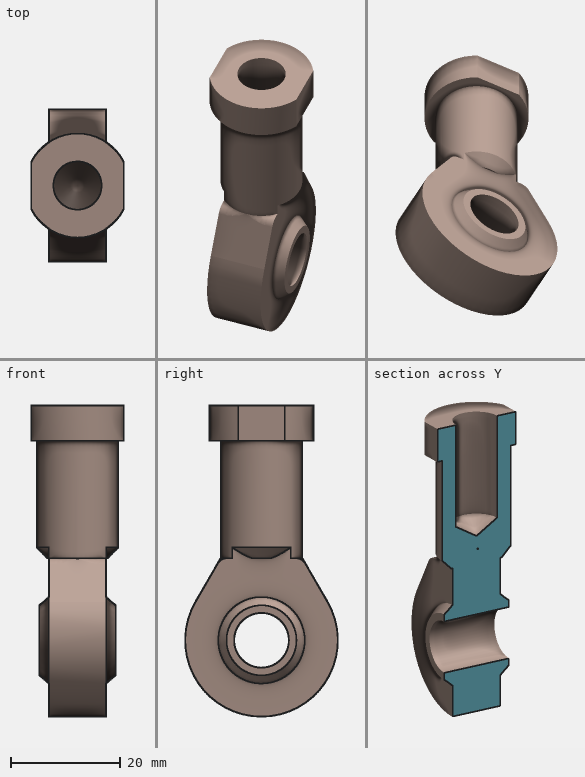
import cadquery as cq
import math

total_height = 57.0
eye_diameter = 28.0
eye_width = 10.5
bore_diameter = 10.0
ball_width = 14.0
ball_end_diameter = 12.8
ball_face_diameter = 15.85
flank_angle = math.radians(30)
corner_radius = 2.0

shank_diameter = 15.0
shank_chamfer = 2.0
head_diameter = 19.05
head_height = 6.5
head_flats = 17.0
hole_diameter = 8.85
hole_depth = 19.95
drill_point_angle = math.radians(118)

eye_radius = eye_diameter / 2
shank_radius = shank_diameter / 2
top_z = total_height - eye_radius
shoulder_z = (eye_radius - shank_radius * math.cos(flank_angle)) / math.sin(flank_angle)
tangent_y = eye_radius * math.cos(flank_angle)
tangent_z = eye_radius * math.sin(flank_angle)

blend_start_x = 0.15
blend_sections = 8


def cylinder(diameter, bottom_z, height):
    return cq.Workplane("XY").workplane(offset=bottom_z).circle(diameter / 2).extrude(height)


def make_eye():
    return (
        cq.Workplane("YZ")
        .moveTo(-shank_radius, shoulder_z)
        .lineTo(shank_radius, shoulder_z)
        .lineTo(tangent_y, tangent_z)
        .threePointArc((0, -eye_radius), (-tangent_y, tangent_z))
        .close()
        .extrude(eye_width / 2, both=True)
    )


def corner_section(x, inset):
    """Waste outside an arc tangent to the flank that starts inset from the corner."""
    depth = inset * math.cos(flank_angle)
    reach = math.sqrt(2 * corner_radius * depth - depth**2)
    along = reach - inset * math.sin(flank_angle)
    flank_y = shank_radius + along * math.sin(flank_angle)
    flank_z = shoulder_z - along * math.cos(flank_angle)
    center_y = flank_y - corner_radius * math.cos(flank_angle)
    center_z = flank_z - corner_radius * math.sin(flank_angle)
    start_angle = math.atan2(shoulder_z - center_z, shank_radius - inset - center_y)
    middle_angle = (start_angle + flank_angle) / 2
    start = cq.Vector(x, shank_radius - inset, shoulder_z)
    middle = cq.Vector(
        x,
        center_y + corner_radius * math.cos(middle_angle),
        center_z + corner_radius * math.sin(middle_angle),
    )
    end = cq.Vector(x, flank_y, flank_z)
    corner = cq.Vector(x, shank_radius, shoulder_z)
    return cq.Wire.assembleEdges([
        cq.Edge.makeThreePointArc(start, middle, end),
        cq.Edge.makeLine(end, corner),
        cq.Edge.makeLine(corner, start),
    ])


def corner_waste():
    """One quarter of the rounding: full near the eye face, fading out under the shank."""
    full_inset = corner_radius * math.tan((math.pi / 2 - flank_angle) / 2)
    full_x = math.sqrt(shank_radius**2 - (shank_radius - full_inset)**2)
    step = (full_x - blend_start_x) / (blend_sections - 1)
    sections = []
    for index in range(blend_sections):
        x = blend_start_x + index * step
        inset = shank_radius - math.sqrt(shank_radius**2 - x**2)
        sections.append(corner_section(x, inset))
    blend = cq.Solid.makeLoft(sections, False)
    straight = cq.Solid.makeLoft(
        [corner_section(full_x, full_inset), corner_section(eye_width / 2, full_inset)], True
    )
    return [blend, straight]


def round_corners(eye):
    for waste in corner_waste():
        mirrored_x = waste.mirror("YZ")
        for piece in (waste, mirrored_x):
            eye = eye.cut(cq.Workplane(piece))
            eye = eye.cut(cq.Workplane(piece.mirror("XZ")))
    return eye


def make_shank():
    """Shank chamfered at its foot, except between the planes of the eye faces."""
    height = top_z - shoulder_z
    shank = cylinder(shank_diameter, shoulder_z, height)
    center_slab = cq.Workplane("XY").box(eye_width, eye_diameter, 2 * total_height)
    center = shank.intersect(center_slab)
    return shank.faces("<Z").chamfer(shank_chamfer).union(center)


def make_head():
    head = cylinder(head_diameter, top_z - head_height, head_height)
    flats = cq.Workplane("XY").box(head_flats, head_diameter, 2 * total_height)
    return head.intersect(flats)


def make_ball():
    """Ball with tapered ends projecting from both faces of the eye."""
    return (
        cq.Workplane("XY")
        .moveTo(-ball_width / 2, 0)
        .lineTo(-ball_width / 2, ball_end_diameter / 2)
        .lineTo(-eye_width / 2, ball_face_diameter / 2)
        .lineTo(eye_width / 2, ball_face_diameter / 2)
        .lineTo(ball_width / 2, ball_end_diameter / 2)
        .lineTo(ball_width / 2, 0)
        .close()
        .revolve(360, (0, 0, 0), (1, 0, 0))
    )


def make_blind_hole():
    hole_radius = hole_diameter / 2
    point_depth = hole_radius / math.tan(drill_point_angle / 2)
    return (
        cq.Workplane("XZ")
        .moveTo(0, top_z)
        .lineTo(hole_radius, top_z)
        .lineTo(hole_radius, top_z - hole_depth)
        .lineTo(0, top_z - hole_depth - point_depth)
        .close()
        .revolve(360, (0, 0, 0), (0, 1, 0))
    )


bore = cq.Workplane("YZ").circle(bore_diameter / 2).extrude(ball_width, both=True)

result = round_corners(make_eye()).union(make_shank()).union(make_head()).union(make_ball())
result = result.cut(bore).cut(make_blind_hole())